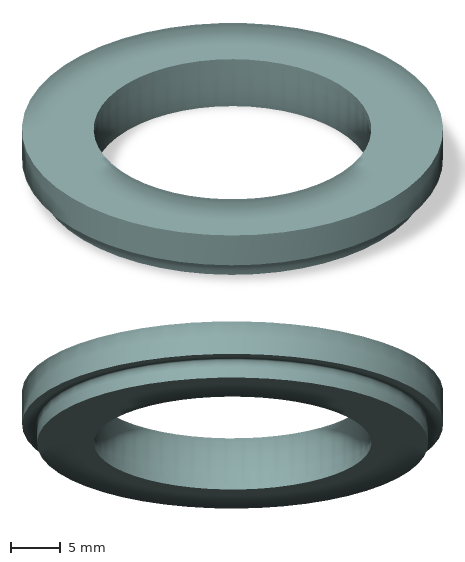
import cadquery as cq

flange_diameter = 42.5
spigot_diameter = 39.5
bore_diameter = 28.0
total_height = 5.5
spigot_height = 2.0
root_fillet_radius = 0.1
flange_height = total_height - spigot_height

flange = cq.Workplane("XY").workplane(offset=spigot_height).circle(flange_diameter / 2).extrude(flange_height)

spigot = cq.Workplane("XY").circle(spigot_diameter / 2).extrude(spigot_height)
stepped_disc = flange.union(spigot)

flange_underside = stepped_disc.faces("<Z[1]")
root_edge = flange_underside.edges(cq.selectors.RadiusNthSelector(0))
filleted_disc = root_edge.fillet(root_fillet_radius)

result = filleted_disc.faces(">Z").workplane().hole(bore_diameter)